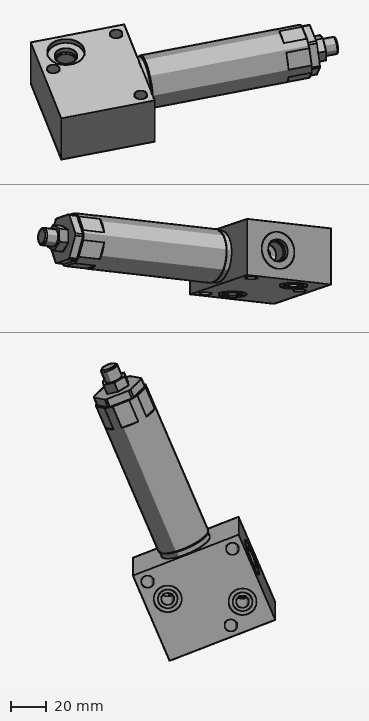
import cadquery as cq
import math


BLOCK_X = 63.5
BLOCK_Y = 54.0
BLOCK_Z = 31.9
MID_Z = BLOCK_Z / 2

MOUNT_DIAMETER = 7.0
REAR_MOUNT_X = 25.5
REAR_MOUNT_Y = BLOCK_Y - 6.4
FRONT_MOUNT_X = -7.7
FRONT_MOUNT_Y = 6.4

SPOTFACE_DIAMETER = 21.0
MOUTH_DIAMETER = 12.5
MOUTH_DEPTH = 3.0
THREAD_DIAMETER = 11.0
THREAD_DEPTH = 11.7
DRILL_TIP_ANGLE = 118
PORT_X = 19.0
TOP_PORT_Y = 16.8
TOP_SPOTFACE_DEPTH = 3.0
SIDE_PORT_Y = 34.0
SIDE_SPOTFACE_DEPTH = 0.2
BASE_BORE_DIAMETER = 7.0
SIDE_BORE_DIAMETER = 5.7
SIDE_BORE_OVERRUN = 0.3
RISER_TOP = MID_Z - 1.0

SEAL_DIAMETER = 16.0
SEAL_SECTION = 2.7
SEAL_PROUD = 0.7

TOTAL_LENGTH = 167.7
NECK_DIAMETER = 29.2
BODY_START = 57.0
BODY_DIAMETER = 30.2
BODY_CHAMFER = 0.7
WRENCH_START = 136.0
BODY_END = 149.5
CAP_END = 154.3
LOCKNUT_END = 160.0

WRENCH_FLATS = 28.5
CAP_FLATS = 25.5
CAP_DIAMETER = 28.7
LOCKNUT_FLATS = 12.9
LOCKNUT_TURN = 33

SCREW_DIAMETER = 9.9
SCREW_CHAMFER = 0.8


def rod(diameter, start, end):
    """Cylinder on the cartridge axis between two Y stations."""
    plane = cq.Plane(origin=(0, start, MID_Z), xDir=(1, 0, 0), normal=(0, 1, 0))
    return cq.Workplane(plane).circle(diameter / 2).extrude(end - start)


def hexagon(flats, start, end, turn=0):
    """Hexagonal bar on the cartridge axis; a flat faces up when turn is 0 degrees."""
    corner_diameter = flats / math.cos(math.radians(30))
    plane = cq.Plane(origin=(0, start, MID_Z), xDir=(1, 0, 0), normal=(0, 1, 0))
    bar = cq.Workplane(plane).polygon(6, corner_diameter).extrude(end - start)
    return bar.rotate((0, 0, MID_Z), (0, 1, MID_Z), turn)


def drill_tip_height(diameter):
    """Height of the cone left by a drill of the given diameter."""
    return diameter / 2 / math.tan(math.radians(DRILL_TIP_ANGLE / 2))


def riser_cutter(x, y):
    """Drilled bore rising from the base, its drill cone breaking into the side passage."""
    radius = BASE_BORE_DIAMETER / 2
    tip_z = RISER_TOP + drill_tip_height(BASE_BORE_DIAMETER)
    profile = [(0, 0), (radius, 0), (radius, RISER_TOP), (0, tip_z)]
    bore = cq.Workplane("XZ").polyline(profile).close().revolve(360, (0, 0), (0, 1))
    return bore.translate((x, y, 0))


def port_cutter(origin, inward, across, spotface_depth, bore_diameter, bore_end):
    """Revolved port cavity; radius runs along across and depth along inward from origin."""
    plane = cq.Plane(origin=origin, xDir=across, normal=cq.Vector(*across).cross(cq.Vector(*inward)))
    mouth_chamfer = (MOUTH_DIAMETER - THREAD_DIAMETER) / 2
    mouth_end = spotface_depth + MOUTH_DEPTH
    thread_end = spotface_depth + THREAD_DEPTH
    tip_depth = drill_tip_height(THREAD_DIAMETER) - drill_tip_height(bore_diameter)
    profile = [
        (0, 0),
        (SPOTFACE_DIAMETER / 2, 0),
        (SPOTFACE_DIAMETER / 2, spotface_depth),
        (MOUTH_DIAMETER / 2, spotface_depth),
        (MOUTH_DIAMETER / 2, mouth_end),
        (THREAD_DIAMETER / 2, mouth_end + mouth_chamfer),
        (THREAD_DIAMETER / 2, thread_end),
        (bore_diameter / 2, thread_end + tip_depth),
        (bore_diameter / 2, bore_end),
        (0, bore_end),
    ]
    return cq.Workplane(plane).polyline(profile).close().revolve(360, (0, 0), (0, 1))


def seal(x, y):
    """O-ring whose lowest point stands proud of the base."""
    ring_radius = (SEAL_DIAMETER - SEAL_SECTION) / 2
    centre = cq.Vector(x, y, SEAL_SECTION / 2 - SEAL_PROUD)
    return cq.Workplane(cq.Solid.makeTorus(ring_radius, SEAL_SECTION / 2, centre, cq.Vector(0, 0, 1)))


def make_block():
    block = cq.Workplane().box(BLOCK_X, BLOCK_Y, BLOCK_Z, centered=(True, False, False))
    mounts = [(-REAR_MOUNT_X, REAR_MOUNT_Y), (REAR_MOUNT_X, REAR_MOUNT_Y), (FRONT_MOUNT_X, FRONT_MOUNT_Y)]
    block = block.cut(cq.Workplane().pushPoints(mounts).circle(MOUNT_DIAMETER / 2).extrude(BLOCK_Z))

    top_origin = (-PORT_X, TOP_PORT_Y, BLOCK_Z)
    block = block.cut(port_cutter(
        top_origin, (0, 0, -1), (1, 0, 0), TOP_SPOTFACE_DEPTH, BASE_BORE_DIAMETER, BLOCK_Z))

    side_origin = (-BLOCK_X / 2, SIDE_PORT_Y, MID_Z)
    side_bore_end = BLOCK_X / 2 + PORT_X + SIDE_BORE_OVERRUN
    block = block.cut(port_cutter(
        side_origin, (1, 0, 0), (0, 1, 0), SIDE_SPOTFACE_DEPTH, SIDE_BORE_DIAMETER, side_bore_end))
    block = block.cut(riser_cutter(PORT_X, SIDE_PORT_Y))

    return block.union(seal(-PORT_X, TOP_PORT_Y)).union(seal(PORT_X, SIDE_PORT_Y))


def make_cartridge():
    neck = rod(NECK_DIAMETER, BLOCK_Y, BODY_START)

    body = rod(BODY_DIAMETER, BODY_START, BODY_END).faces("<Y").chamfer(BODY_CHAMFER)
    round_part = rod(BODY_DIAMETER, BODY_START, WRENCH_START)
    flats = hexagon(WRENCH_FLATS, WRENCH_START, BODY_END)
    body = body.intersect(round_part.union(flats))

    cap = hexagon(CAP_FLATS, BODY_END, CAP_END).intersect(rod(CAP_DIAMETER, BODY_END, CAP_END))
    locknut = hexagon(LOCKNUT_FLATS, CAP_END, LOCKNUT_END, LOCKNUT_TURN)

    screw = rod(SCREW_DIAMETER, LOCKNUT_END, TOTAL_LENGTH).faces(">Y").chamfer(SCREW_CHAMFER)

    return neck.union(body).union(cap).union(locknut).union(screw)


result = make_block().union(make_cartridge())